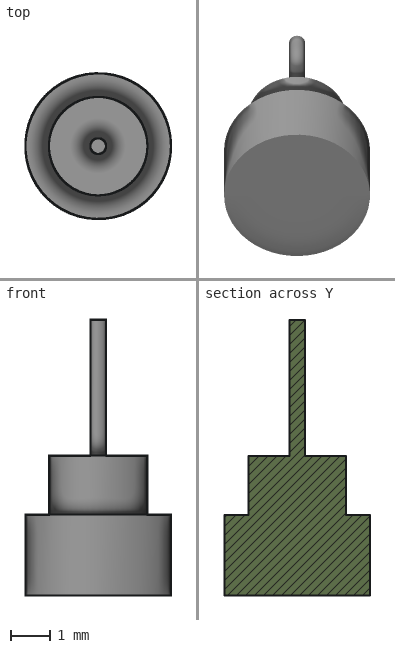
import cadquery as cq

total_height = 7.0
base_diameter = 3.7
base_height = 2.05
collar_diameter = 2.5
collar_height = 1.5
pin_diameter = 0.4
pin_height = total_height - base_height - collar_height


def add_cylinder(body, diameter, height):
    """Stack a coaxial cylinder on the top face of the body."""
    return body.faces(">Z").workplane().circle(diameter / 2).extrude(height)


base = cq.Workplane("XY").circle(base_diameter / 2).extrude(base_height)

base_with_collar = add_cylinder(base, collar_diameter, collar_height)
result = add_cylinder(base_with_collar, pin_diameter, pin_height)